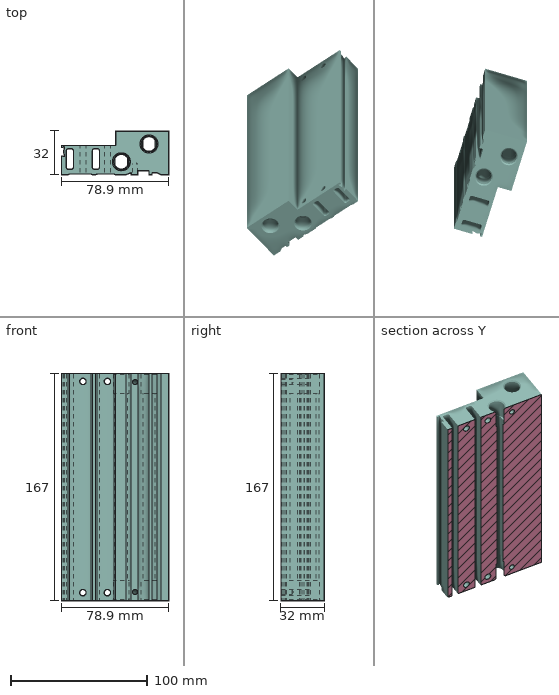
import cadquery as cq
import math


width = 78.9
depth = 32.0
length = 167.0
thin_depth = 21.6
step_x = 39.7

relief_spans = [(4.9, 22.9), (25.1, 39.8)]
relief_depth = 0.5
relief_slope = 1.1

left_ramp_start = 47.4
left_ramp_end = 51.2
slot_start = 56.1
slot_end = 64.2
slot_depth = 2.95
right_groove_start = 66.6
right_ramp_start = 70.2
right_ramp_end = 72.9
ramp_depth = 1.5

label_center_y = 17.0
label_opening = 6.0
label_inner_width = 6.9
label_lip = 1.3
label_depth = 2.15
label_ridge_depth = 1.5

channel_width = 5.0
channel_height = 14.8
channel_radius = 1.2
channel_center_y = 11.6
channel_xs = [6.2, 25.3]

port_diameter = 11.45
port_mouth_diameter = 13.2
port_bore_depth = 15.0
passage_diameter = 10.7
ports = [(44.0, 9.6, 9.2), (64.25, 22.65, 8.8)]

mount_diameter = 4.5
mount_xs = [15.75, 33.75]
mount_end_distance = 6.0
blind_diameter = 3.7
blind_x = 54.0
blind_end_distance = 6.5
blind_depth = 8.0
drill_point_angle = 118.0


def prism(points):
    """Extrude a closed XY outline over the full length."""
    return cq.Workplane("XY").polyline(points).close().extrude(length)


def body():
    return prism([
        (0, 0),
        (width, 0),
        (width, depth),
        (step_x, depth),
        (step_x, thin_depth),
        (0, thin_depth),
    ])


def relief(start, end):
    return prism([
        (start, 0),
        (start + relief_slope, relief_depth),
        (end - relief_slope, relief_depth),
        (end, 0),
    ])


def left_ramp_groove():
    return prism([
        (left_ramp_start, 0),
        (left_ramp_end, ramp_depth),
        (left_ramp_end, 0),
    ])


def deep_slot():
    return prism([
        (slot_start, 0),
        (slot_start, slot_depth),
        (slot_end, slot_depth),
        (slot_end, 0),
    ])


def right_ramp_groove():
    return prism([
        (right_groove_start, 0),
        (right_groove_start, ramp_depth),
        (right_ramp_start, ramp_depth),
        (right_ramp_end, 0),
    ])


def label_groove():
    half_opening = label_opening / 2
    half_inner = label_inner_width / 2
    upper_half = [
        (0, half_opening),
        (label_lip, half_opening),
        (label_lip, half_inner),
        (label_depth, half_inner),
        (label_depth, half_opening),
    ]
    lower_half = [(x, -y) for x, y in reversed(upper_half)]
    outline = upper_half + [(label_ridge_depth, 0)] + lower_half
    return prism(outline).translate((0, label_center_y, 0))


def channel(x):
    return (
        cq.Workplane("XY")
        .center(x, channel_center_y)
        .rect(channel_width, channel_height)
        .extrude(length)
        .edges("|Z")
        .fillet(channel_radius)
    )


def port(x, y, flat_width):
    bore_radius = port_diameter / 2
    mouth_radius = port_mouth_diameter / 2
    chamfer = mouth_radius - bore_radius
    passage = cq.Workplane("XY").circle(passage_diameter / 2).extrude(length)
    flats = cq.Workplane("XY").rect(flat_width, passage_diameter).extrude(length)
    end_bore = (
        cq.Workplane("XZ")
        .polyline([
            (0, 0),
            (mouth_radius, 0),
            (bore_radius, chamfer),
            (bore_radius, port_bore_depth),
            (0, port_bore_depth),
        ])
        .close()
        .revolve(360, (0, 0), (0, 1))
    )
    far_bore = end_bore.mirror("XY").translate((0, 0, length))
    return passage.intersect(flats).union(end_bore).union(far_bore).translate((x, y, 0))


def mounting_hole(x, z):
    return (
        cq.Workplane("XZ")
        .center(x, z)
        .circle(mount_diameter / 2)
        .extrude(-depth)
    )


def blind_hole(x, z):
    radius = blind_diameter / 2
    tip_length = radius / math.tan(math.radians(drill_point_angle / 2))
    return (
        cq.Workplane("XY")
        .polyline([
            (0, 0),
            (radius, 0),
            (radius, blind_depth),
            (0, blind_depth + tip_length),
        ])
        .close()
        .revolve(360, (0, 0), (0, 1))
        .translate((x, 0, z))
    )


result = body()

for start, end in relief_spans:
    result = result.cut(relief(start, end))
result = result.cut(left_ramp_groove())
result = result.cut(deep_slot())
result = result.cut(right_ramp_groove())
result = result.cut(label_groove())

for x in channel_xs:
    result = result.cut(channel(x))
for x, y, flat_width in ports:
    result = result.cut(port(x, y, flat_width))

for z in (mount_end_distance, length - mount_end_distance):
    for x in mount_xs:
        result = result.cut(mounting_hole(x, z))
for z in (blind_end_distance, length - blind_end_distance):
    result = result.cut(blind_hole(blind_x, z))